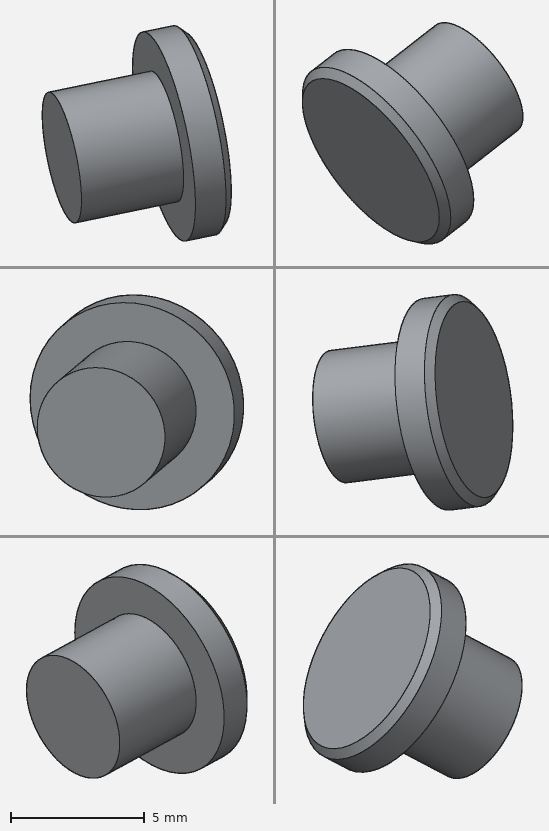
import cadquery as cq

head_diameter = 8.0
head_thickness = 1.5
head_chamfer = 0.3
shank_diameter = 5.0
shank_length = 4.0

head_radius = head_diameter / 2
shank_radius = shank_diameter / 2

half_section = (
    cq.Workplane("XY")
    .moveTo(0, -shank_length)
    .lineTo(-shank_radius, -shank_length)
    .lineTo(-shank_radius, 0)
    .lineTo(-head_radius, 0)
    .lineTo(-head_radius, head_thickness - head_chamfer)
    .lineTo(-head_radius + head_chamfer, head_thickness)
    .lineTo(0, head_thickness)
    .close()
)

result = half_section.revolve(360, (0, 0, 0), (0, 1, 0))